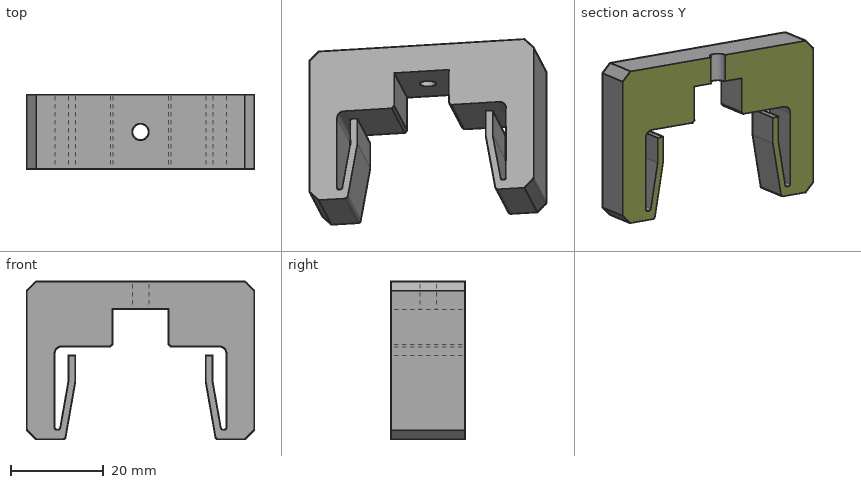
import cadquery as cq
import math

width = 49.0
depth = 16.0
height = 34.0
outer_chamfer = 2.0
wall = 6.05

ledge_height = 20.0
ledge_corner_radius = 1.5
notch_width = 11.95
notch_top = 28.05
notch_edge_chamfer = 0.55

arm_thickness = 1.5
arm_offset = 8.95
arm_top = 18.1
arm_bend_height = 12.45
arm_lean = math.radians(10)
slot_floor = 2.1
slot_floor_radius = 0.5
foot_radius = 0.7

hole_diameter = 3.5

half_width = width / 2
half_notch = notch_width / 2


def extrude_profile(points):
    """Extrude an XZ outline over the full depth, centred on Y."""
    return cq.Workplane("XZ").polyline(points).close().extrude(depth / 2, both=True)


def make_body():
    block = cq.Workplane("XY").box(width, depth, height, centered=(True, True, False))
    return block.edges("|Y").chamfer(outer_chamfer)


def cut_opening(body):
    half_opening = half_width - wall
    opening = cq.Workplane("XY").box(
        2 * half_opening, depth, ledge_height, centered=(True, True, False)
    )
    opening = opening.edges("|Y and >Z").fillet(ledge_corner_radius)
    notch = cq.Workplane("XY").box(notch_width, depth, notch_top, centered=(True, True, False))
    opened = body.cut(opening).cut(notch)
    for x in (-half_notch, half_notch):
        ledge_edge = cq.selectors.NearestToPointSelector((x, 0, ledge_height))
        opened = opened.edges("|Y").edges(ledge_edge).chamfer(notch_edge_chamfer)
    return opened


def make_left_arm():
    """Spring arm of the left leg with the foot that joins it to the wall."""
    wall_x = -half_width + wall
    arm_outer_x = -half_width + arm_offset
    arm_inner_x = arm_outer_x + arm_thickness
    bend_shift = arm_thickness / 2 * math.tan(arm_lean / 2)
    outer_bend = arm_bend_height + bend_shift
    inner_bend = arm_bend_height - bend_shift
    slot_corner_x = arm_outer_x - (outer_bend - slot_floor) * math.tan(arm_lean)
    foot_corner_x = arm_inner_x - inner_bend * math.tan(arm_lean)

    arm = extrude_profile([
        (wall_x, 0),
        (foot_corner_x, 0),
        (arm_inner_x, inner_bend),
        (arm_inner_x, arm_top),
        (arm_outer_x, arm_top),
        (arm_outer_x, outer_bend),
        (slot_corner_x, slot_floor),
        (wall_x, slot_floor),
    ])
    foot_edge = cq.selectors.NearestToPointSelector((foot_corner_x, 0, 0))
    return arm.edges("|Y").edges(foot_edge).fillet(foot_radius)


def round_slot_floors(body):
    """Round both lower corners of each slot between wall and arm."""
    margin = slot_floor_radius / 2
    slot_floors = cq.selectors.BoxSelector(
        (-half_width, -depth, slot_floor - margin),
        (half_width, depth, slot_floor + margin),
    )
    return body.edges("|Y").edges(slot_floors).fillet(slot_floor_radius)


def cut_hole(body):
    hole = cq.Workplane("XY").circle(hole_diameter / 2).extrude(height)
    return body.cut(hole)


left_arm = make_left_arm()
body = cut_opening(make_body())
body = body.union(left_arm).union(left_arm.mirror("YZ"))
body = round_slot_floors(body)
result = cut_hole(body)